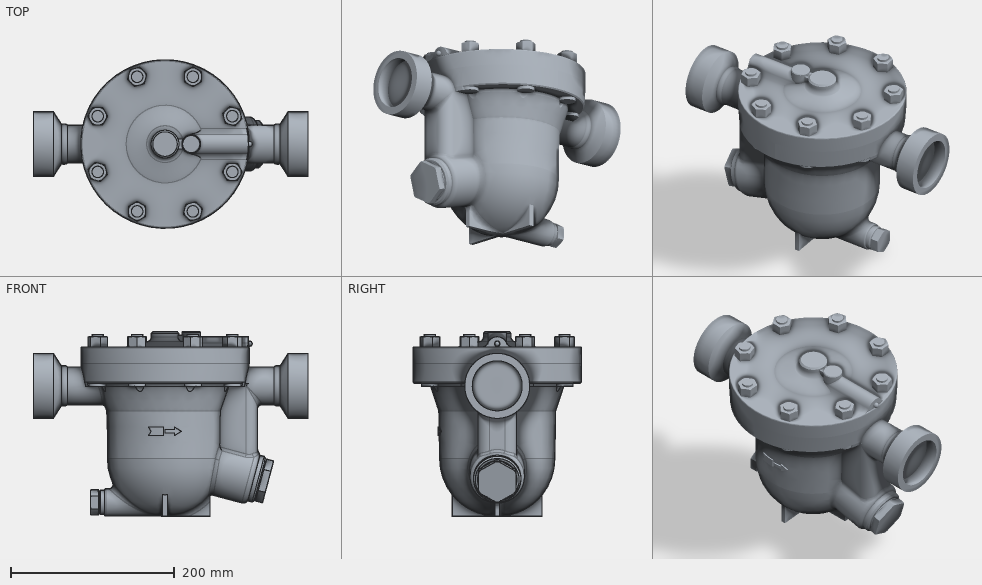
import cadquery as cq
import math


FLANGE_R = 103.0
FLANGE_TOP = 47.5
JOINT_Z = 27.5
FLANGE_BOTTOM = 3.0
FLANGE_EDGE = 1.5
FLANGE_FOOT_X = 100.8
FLANGE_FOOT_FLARE = 0.2

DOME_R = 70.5
DOME_Z = -89.0
SHOULDER_R = 71.5
SHOULDER_Z = -30.5
NECK_R = 81.5
BOTTOM_Z = DOME_Z - DOME_R

BOLT_COUNT = 8
BOLT_CIRCLE_R = 89.0
BOLT_R = 7.0
BOLT_TOP = 62.8
NUT_FLATS = 21.0
NUT_TOP = 60.0
NUT_EDGE = 1.2
SEAT_R = 10.5
SEAT_Z = -0.6
SEAT_RELIEF_R = 9.6
SEAT_RELIEF = 12.0

PIPE_R = 23.3
INLET_X = -161.0
OUTLET_X = INLET_X + 336.0
SOCKET_R = 79.5 / 2
SOCKET_LENGTH = 24.5
SOCKET_BORE_R = 61.1 / 2
SOCKET_BORE_DEPTH = 16.0
REDUCER_LENGTH = 10.0
REDUCER_STEP = 1.0
WELD_R = 49.5 / 2
WELD_LENGTH = 7.3

DUCT_END_X = 113.2
DUCT_HALF_WIDTH = PIPE_R
DUCT_CORNER_R = 14.0
PIPE_FILLET = 4.5

STRAINER_TILT = 15.0
STRAINER_END = (126.0, -117.4)
STRAINER_BOSS_R = 33.2
STRAINER_BOSS_ROUND = 6.5
STRAINER_BOSS_INNER = -75.0
STRAINER_BOSS_OUTER = -18.0
STRAINER_COLLAR_R = 29.0
STRAINER_COLLAR_OUTER = -10.5
STRAINER_COLLAR_EDGE = 2.2
STRAINER_NECK_R = 24.0
STRAINER_PLUG_FLATS = 46.0
STRAINER_PLUG_THICKNESS = 9.0
STRAINER_BLEND_TOP = -68.0
BODY_FILLET = 6.0

DRAIN_BOSS_R = 16.8
DRAIN_Z = BOTTOM_Z + 17.0
DRAIN_FILLET = 5.0
DRAIN_BOSS_END = -73.8
DRAIN_BOSS_EDGE = 1.5
DRAIN_COLLAR_R = 15.0
DRAIN_COLLAR_END = -80.0
DRAIN_NECK_R = 13.0
DRAIN_NECK_END = -81.5
DRAIN_PLUG_FLATS = 27.0
DRAIN_PLUG_END = -91.1
PLUG_EDGE = 1.2

TOLERANCE = 0.01

FOOT_REACH = 55.0
FOOT_THICKNESS = 6.0
FOOT_TOP = -125.0
FOOT_TRIM = 10.0
FOOT_FILLET = 6.0

CROWN_R = 47.5
CROWN_TOP_R = 22.5
CROWN_TOP = 54.0
HUB_R = 17.0
HUB_FILLET = CROWN_TOP_R - HUB_R
HUB_TOP = 66.1
HUB_EDGE = 2.0
VALVE_X = 32.0
VALVE_R = 11.5
VALVE_EDGE = 1.0
WEB_HALF_WIDTH = 6.0
WEB_TOP = 62.0
RIDGE_R = 12.5
RIDGE_FILLET = 8.0
RIDGE_END_R = 102.0
KNOB_X = 103.3
KNOB_Z = 51.5
KNOB_R = 3.3

ARROW_RELIEF = 1.0
ARROW_Z = -55.6
ARROW_HALF_HEIGHT = 5.2
ARROW_SHAFT_HALF_HEIGHT = 2.1
ARROW_TAIL_X = (-20.2, -1.7)
ARROW_TAIL_NOTCH = 3.2
ARROW_SHAFT_X = (0.0, 11.5)
ARROW_TIP_X = 20.0

PAD_REACH = 99.5
PAD_HALF_WIDTH = 34.0


def hexagon_prism(flats, thickness, edge):
    """Hexagon on Z with corners on +X and -X, its far end turned to a chamfer."""
    corner_r = flats / math.sqrt(3)
    prism = cq.Workplane("XY").polygon(6, 2 * corner_r).extrude(thickness)
    turned = cq.Workplane("XY").circle(corner_r).extrude(thickness).faces(">Z").chamfer(edge / 2, edge)
    return prism.intersect(turned)


def vessel_shell():
    profile = (
        cq.Workplane("XZ")
        .moveTo(0, FLANGE_BOTTOM)
        .lineTo(NECK_R, FLANGE_BOTTOM)
        .lineTo(NECK_R, SEAT_Z)
        .lineTo(SHOULDER_R, SHOULDER_Z)
        .lineTo(DOME_R, DOME_Z)
        .threePointArc(
            (DOME_R * math.sqrt(0.5), DOME_Z - DOME_R * math.sqrt(0.5)),
            (0, BOTTOM_Z),
        )
        .close()
    )
    return profile.revolve(360, (0, 0, 0), (0, 1, 0))


def tapered_disc(upper_radii, upper_z, lower_radii, lower_z):
    """Solid between two elliptical outlines given by their X and Y radii."""
    return (
        cq.Workplane("XY", origin=(0, 0, upper_z))
        .ellipse(*upper_radii)
        .workplane(offset=lower_z - upper_z)
        .ellipse(*lower_radii)
        .loft(ruled=True)
    )


def flange():
    upper = (
        cq.Workplane("XY", origin=(0, 0, JOINT_Z))
        .circle(FLANGE_R)
        .extrude(FLANGE_TOP - JOINT_Z)
        .faces(">Z")
        .edges()
        .fillet(FLANGE_EDGE)
    )
    foot_y = FLANGE_R - FLANGE_FOOT_FLARE
    lower = tapered_disc((FLANGE_R, FLANGE_R), JOINT_Z, (FLANGE_FOOT_X, foot_y), FLANGE_BOTTOM + FLANGE_EDGE)
    edge = tapered_disc(
        (FLANGE_FOOT_X, foot_y),
        FLANGE_BOTTOM + FLANGE_EDGE,
        (FLANGE_FOOT_X - FLANGE_EDGE, foot_y - FLANGE_EDGE),
        FLANGE_BOTTOM,
    )
    return upper, lower, edge


def bolt_points():
    step = 2 * math.pi / BOLT_COUNT
    angles = [step * (i + 0.5) for i in range(BOLT_COUNT)]
    return [(BOLT_CIRCLE_R * math.cos(a), BOLT_CIRCLE_R * math.sin(a)) for a in angles]


def bolt_columns(radius, bottom, top):
    return (
        cq.Workplane("XY", origin=(0, 0, bottom))
        .pushPoints(bolt_points())
        .circle(radius)
        .extrude(top - bottom)
    )


def nuts():
    step = 360.0 / BOLT_COUNT
    nut = hexagon_prism(NUT_FLATS, NUT_TOP - FLANGE_TOP, NUT_EDGE)
    nut = nut.rotate((0, 0, 0), (0, 0, 1), step / 2).translate((BOLT_CIRCLE_R, 0, FLANGE_TOP))
    ring = cq.Workplane("XY")
    for i in range(BOLT_COUNT):
        ring = ring.add(nut.rotate((0, 0, 0), (0, 0, 1), step * (i + 0.5)))
    return ring.combine()


def pipe_end(end_x, start_x):
    """Pipe from start_x with weld bead, reducer and socket, open at end_x."""
    out = math.copysign(1, end_x)
    socket_x = end_x - out * SOCKET_LENGTH
    bead_x = socket_x - out * REDUCER_LENGTH
    pipe_x = bead_x - out * WELD_LENGTH
    bore_x = end_x - out * SOCKET_BORE_DEPTH
    profile = (
        cq.Workplane("XZ")
        .moveTo(start_x, 0)
        .lineTo(start_x, PIPE_R)
        .lineTo(pipe_x, PIPE_R)
        .threePointArc(((pipe_x + bead_x) / 2, WELD_R), (bead_x, PIPE_R + REDUCER_STEP))
        .lineTo(socket_x, SOCKET_R)
        .lineTo(end_x, SOCKET_R)
        .lineTo(end_x, SOCKET_BORE_R)
        .lineTo(bore_x, SOCKET_BORE_R)
        .lineTo(bore_x, 0)
        .close()
    )
    return profile.revolve(360, (0, 0, 0), (1, 0, 0))


def strainer_place(shape):
    """Move a shape built on +Z from the plug face onto the tilted strainer axis."""
    x, z = STRAINER_END
    return shape.rotate((0, 0, 0), (0, 1, 0), 90 + STRAINER_TILT).translate((x, 0, z))


def strainer_cylinder(radius, inner, outer):
    return cq.Workplane("XY", origin=(0, 0, inner)).circle(radius).extrude(outer - inner)


def strainer_boss():
    boss = strainer_cylinder(STRAINER_BOSS_R, STRAINER_BOSS_INNER, STRAINER_BOSS_OUTER)
    return strainer_place(boss.faces(">Z").edges().fillet(STRAINER_BOSS_ROUND))


def strainer_plug():
    collar = strainer_cylinder(STRAINER_COLLAR_R, STRAINER_BOSS_OUTER, STRAINER_COLLAR_OUTER)
    collar = collar.faces(">Z").edges().chamfer(STRAINER_COLLAR_EDGE)
    neck = strainer_cylinder(STRAINER_NECK_R, STRAINER_COLLAR_OUTER, -STRAINER_PLUG_THICKNESS)
    head = hexagon_prism(STRAINER_PLUG_FLATS, STRAINER_PLUG_THICKNESS, PLUG_EDGE)
    head = head.translate((0, 0, -STRAINER_PLUG_THICKNESS))
    return strainer_place(collar.union(neck).union(head))


def duct():
    """Flat sided duct from the flange down into the strainer boss."""
    slope = math.tan(math.radians(STRAINER_TILT))
    end_x, end_z = STRAINER_END
    depth = DUCT_HALF_WIDTH / math.cos(math.radians(STRAINER_TILT))
    base_z = end_z + depth + slope * (end_x - DUCT_END_X)
    profile = [
        (0, FLANGE_BOTTOM),
        (DUCT_END_X, FLANGE_BOTTOM),
        (DUCT_END_X, base_z),
        (0, base_z + slope * DUCT_END_X),
    ]
    return (
        cq.Workplane("XZ")
        .polyline(profile)
        .close()
        .extrude(DUCT_HALF_WIDTH, both=True)
        .edges("|Z and >X")
        .fillet(DUCT_CORNER_R)
    )


def drain_cylinder(radius, start_x, end_x):
    return cq.Workplane("YZ", origin=(start_x, 0, DRAIN_Z)).circle(radius).extrude(end_x - start_x)


def drain_boss():
    boss = drain_cylinder(DRAIN_BOSS_R, 0, DRAIN_BOSS_END)
    return boss.faces("<X").edges().fillet(DRAIN_BOSS_EDGE)


def drain_plug():
    collar = drain_cylinder(DRAIN_COLLAR_R, DRAIN_BOSS_END, DRAIN_COLLAR_END)
    collar = collar.faces("<X").edges().chamfer(PLUG_EDGE)
    neck = drain_cylinder(DRAIN_NECK_R, DRAIN_COLLAR_END, DRAIN_NECK_END)
    head = hexagon_prism(DRAIN_PLUG_FLATS, DRAIN_NECK_END - DRAIN_PLUG_END, PLUG_EDGE)
    head = head.rotate((0, 0, 0), (0, 1, 0), -90).translate((DRAIN_NECK_END, 0, DRAIN_Z))
    return collar.union(neck).union(head)


def lower_crease(body, low_x, high_x):
    """Edges where a pipe meets the body below the flange, between two X limits."""
    low, high = (low_x, -2 * PIPE_R, -2 * PIPE_R), (high_x, 2 * PIPE_R, FLANGE_BOTTOM)
    crease = body.edges(cq.selectors.BoxSelector(low, high)).vals()
    return [
        edge
        for edge in crease
        if edge.BoundingBox().zmin > -PIPE_R - 1 and edge.BoundingBox().zmax - edge.BoundingBox().zmin > 1.5
    ]


def vessel_with_inlet():
    body = vessel_shell().union(pipe_end(INLET_X, 0))
    return body.newObject(lower_crease(body, -NECK_R - 1, 1 - SHOULDER_R)).fillet(PIPE_FILLET)


def duct_with_outlet():
    body = duct().union(pipe_end(OUTLET_X, 0))
    return body.newObject(lower_crease(body, DUCT_END_X - DUCT_CORNER_R + 1, DUCT_END_X + 1)).fillet(PIPE_FILLET)


def foot_block(size_x, size_y, bottom):
    block = cq.Workplane("XY").box(size_x, size_y, FOOT_TOP - bottom)
    return block.translate((0, 0, (FOOT_TOP + bottom) / 2))


def vessel_with_feet():
    """Vessel with the +X foot, blended into the dome, and the plain foot along Y."""
    along = foot_block(FOOT_REACH, FOOT_THICKNESS, BOTTOM_Z - FOOT_TRIM)
    joined = vessel_shell().union(along.translate((FOOT_REACH / 2, 0, 0)))
    half = FOOT_THICKNESS / 2
    blend = [
        edge
        for edge in joined.edges("%CIRCLE").vals()
        if edge.BoundingBox().zmax < DOME_Z and abs(abs(edge.Center().y) - half) < TOLERANCE
    ]
    joined = joined.newObject(blend).fillet(FOOT_FILLET)
    below = cq.Workplane("XY", origin=(0, 0, BOTTOM_Z)).rect(4 * DOME_R, 4 * DOME_R).extrude(-2 * FOOT_TRIM)
    return joined.cut(below).union(foot_block(FOOT_THICKNESS, 2 * FOOT_REACH, BOTTOM_Z))


def flow_arrow():
    tail_start, tail_end = ARROW_TAIL_X
    shaft_start, shaft_end = ARROW_SHAFT_X
    tall = ARROW_HALF_HEIGHT
    slim = ARROW_SHAFT_HALF_HEIGHT
    tail = [
        (tail_start, -tall),
        (tail_end, -tall),
        (tail_end, tall),
        (tail_start, tall),
        (tail_start + ARROW_TAIL_NOTCH, 0),
    ]
    head = [
        (shaft_start, -slim),
        (shaft_end, -slim),
        (shaft_end, -tall),
        (ARROW_TIP_X, 0),
        (shaft_end, tall),
        (shaft_end, slim),
        (shaft_start, slim),
    ]
    plane = cq.Workplane("XZ", origin=(0, 0, ARROW_Z))
    outline = plane.polyline(tail).close().polyline(head).close().extrude(2 * SHOULDER_R)
    skin = cq.Workplane("XY", origin=(0, 0, DOME_Z)).circle(SHOULDER_R + ARROW_RELIEF).extrude(-DOME_Z)
    return outline.intersect(skin)


def flange_pads():
    pads = cq.Workplane("XY", origin=(0, 0, SEAT_Z)).rect(2 * PAD_REACH, 2 * PAD_HALF_WIDTH)
    pads = pads.extrude(FLANGE_BOTTOM + FLANGE_EDGE - SEAT_Z)
    disc = tapered_disc(
        (FLANGE_FOOT_X, FLANGE_R), FLANGE_BOTTOM + FLANGE_EDGE, (PAD_REACH, FLANGE_R), SEAT_Z)
    return pads.intersect(disc)


def vessel_with_strainer():
    body = vessel_shell().union(strainer_boss()).union(duct())
    low, high = (DOME_R / 2, -DOME_R, BOTTOM_Z), (DUCT_END_X + 1, DOME_R, STRAINER_BLEND_TOP)
    blend = body.edges(cq.selectors.BoxSelector(low, high, boundingbox=True))
    return blend.edges("not %CIRCLE").fillet(BODY_FILLET)


def vessel_with_drain():
    body = vessel_shell().union(drain_boss())
    return body.edges("%BSPLINE").fillet(DRAIN_FILLET)


def cover_hub():
    mid = HUB_FILLET * (1 - math.sqrt(0.5))
    profile = (
        cq.Workplane("XZ")
        .moveTo(0, FLANGE_TOP)
        .lineTo(CROWN_R, FLANGE_TOP)
        .lineTo(CROWN_TOP_R, CROWN_TOP)
        .threePointArc((HUB_R + mid, CROWN_TOP + mid), (HUB_R, CROWN_TOP + HUB_FILLET))
        .lineTo(HUB_R, HUB_TOP - HUB_EDGE)
        .lineTo(HUB_R - HUB_EDGE, HUB_TOP)
        .lineTo(0, HUB_TOP)
        .close()
    )
    return profile.revolve(360, (0, 0, 0), (0, 1, 0))


def valve_boss():
    boss = (
        cq.Workplane("XY", origin=(VALVE_X, 0, FLANGE_TOP))
        .circle(VALVE_R)
        .extrude(HUB_TOP - FLANGE_TOP)
        .faces(">Z")
        .edges()
        .chamfer(VALVE_EDGE)
    )
    web = (
        cq.Workplane("XY", origin=(0, 0, FLANGE_TOP))
        .moveTo(VALVE_X / 2, 0)
        .rect(VALVE_X, 2 * WEB_HALF_WIDTH)
        .extrude(WEB_TOP - FLANGE_TOP)
    )
    return boss.union(web)


def cover_ridge():
    """Rounded ridge with hollow fillets at its foot, from the valve boss to the rim."""
    reach = RIDGE_R + RIDGE_FILLET
    foot_y = math.sqrt(reach**2 - RIDGE_FILLET**2)
    join_y = foot_y * RIDGE_R / reach
    join_z = RIDGE_FILLET * RIDGE_R / reach
    half_angle = math.atan2(foot_y, RIDGE_FILLET) / 2
    hollow_y = foot_y - RIDGE_FILLET * math.sin(half_angle)
    hollow_z = RIDGE_FILLET * (1 - math.cos(half_angle))
    ridge = (
        cq.Workplane("YZ", origin=(VALVE_X, 0, FLANGE_TOP))
        .moveTo(-foot_y, 0)
        .threePointArc((-hollow_y, hollow_z), (-join_y, join_z))
        .threePointArc((0, RIDGE_R), (join_y, join_z))
        .threePointArc((hollow_y, hollow_z), (foot_y, 0))
        .close()
        .extrude(FLANGE_R - VALVE_X)
    )
    rim = cq.Workplane("XY", origin=(0, 0, FLANGE_TOP)).circle(RIDGE_END_R).extrude(2 * RIDGE_R)
    knob = cq.Workplane("XY", origin=(KNOB_X, 0, KNOB_Z)).sphere(KNOB_R)
    return ridge.intersect(rim).union(knob)


result = vessel_with_strainer()
for part in (vessel_with_drain(), vessel_with_feet(), vessel_with_inlet(), duct_with_outlet(), flow_arrow()):
    result = result.union(part)
for part in flange():
    result = result.union(part)
result = result.union(flange_pads())
result = result.union(bolt_columns(SEAT_R, SEAT_Z, JOINT_Z))
result = result.cut(bolt_columns(SEAT_RELIEF_R, SEAT_Z - SEAT_RELIEF, SEAT_Z))
for part in (
    strainer_plug(),
    drain_plug(),
    cover_hub(),
    valve_boss(),
    cover_ridge(),
    nuts(),
    bolt_columns(BOLT_R, FLANGE_TOP, BOLT_TOP),
):
    result = result.union(part)